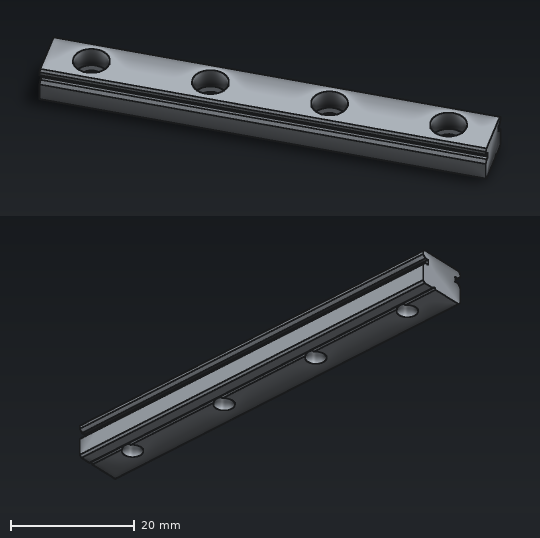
import cadquery as cq

LENGTH = 75.0
WIDTH = 9.0
HEIGHT = 6.5
EDGE_CHAMFER = 0.4

GROOVE_CENTER_Z = 4.5
GROOVE_DEPTH = 1.2
NECK_HEIGHT = 0.9
FLANK = 0.55

MARK_RADIUS = 0.3
MARK_Y = 1.8

HOLE_COUNT = 4
HOLE_PITCH = 20.0
HOLE_DIAMETER = 3.5
COUNTERBORE_DIAMETER = 6.0
COUNTERBORE_DEPTH = 3.5


def make_bar():
    """Plain bar centred in X and Y, resting on Z = 0, with its four long edges chamfered."""
    bar = cq.Workplane("XY").box(LENGTH, WIDTH, HEIGHT, centered=(True, True, False))
    return bar.edges("|X").chamfer(EDGE_CHAMFER)


def extrude_along_rail(sketch):
    """Extrude a YZ-plane sketch over the full length of the rail."""
    return sketch.extrude(LENGTH / 2, both=True)


def make_side_groove(side):
    """Cutter for the ball-track groove on the +Y (side = 1) or -Y (side = -1) face."""
    face_y = side * WIDTH / 2
    flank_y = side * (WIDTH / 2 - FLANK)
    neck_y = side * (WIDTH / 2 - GROOVE_DEPTH)
    neck_half = NECK_HEIGHT / 2
    mouth_half = neck_half + FLANK
    sketch = (
        cq.Workplane("YZ")
        .moveTo(face_y, GROOVE_CENTER_Z + mouth_half)
        .lineTo(flank_y, GROOVE_CENTER_Z + neck_half)
        .lineTo(neck_y, GROOVE_CENTER_Z + neck_half)
        .lineTo(neck_y, GROOVE_CENTER_Z - neck_half)
        .lineTo(flank_y, GROOVE_CENTER_Z - neck_half)
        .lineTo(face_y, GROOVE_CENTER_Z - mouth_half)
        .close()
    )
    return extrude_along_rail(sketch)


def make_marking_groove():
    """Cutter for the half-round groove in the underside."""
    return extrude_along_rail(cq.Workplane("YZ").center(MARK_Y, 0).circle(MARK_RADIUS))


def drill_mounting_holes(rail):
    """Row of counterbored through holes opening on the top face."""
    return (
        rail.faces(">Z")
        .workplane(origin=(0, 0, HEIGHT))
        .rarray(HOLE_PITCH, 1, HOLE_COUNT, 1)
        .cboreHole(HOLE_DIAMETER, COUNTERBORE_DIAMETER, COUNTERBORE_DEPTH)
    )


rail = make_bar()
for side in (1, -1):
    rail = rail.cut(make_side_groove(side))
rail = rail.cut(make_marking_groove())
result = drill_mounting_holes(rail)